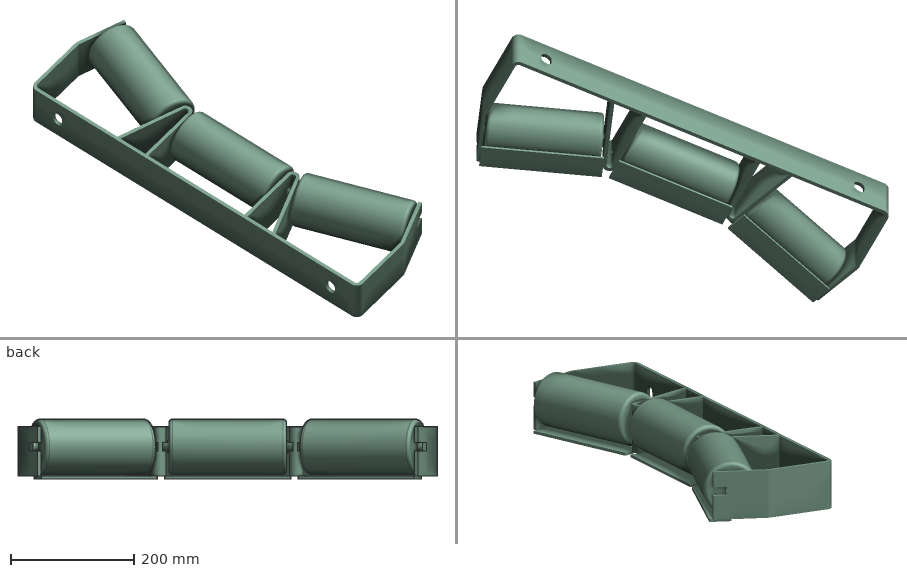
import cadquery as cq
import math

FRAME_LENGTH = 680.0
STRIP_WIDTH = 80.0
STRIP_THICKNESS = 6.0
INNER_BEND = 6.0
OUTER_BEND = INNER_BEND + STRIP_THICKNESS

TILT = 20.0
KNEE_Y = 120.0
LEG_TIP_Y = 205.5

CENTRE_GAP = 200.0
BRACKET_INNER_BEND = 5.5
BRACKET_OUTER_BEND = BRACKET_INNER_BEND + STRIP_THICKNESS
BRACKET_BEND_Y = 117.0

MOUNT_SLOT_WIDTH = 18.5
MOUNT_SLOT_HEIGHT = 26.0
MOUNT_SLOT_X = 283.0

ROLLER_RADIUS = 45.0
ROLLER_LENGTH = 191.0
ROLLER_EDGE_RADIUS = 6.0
AXLE_RADIUS = 10.0
AXLE_FLATS = 14.0
AXLE_SHOULDER = 2.0
AXIS_Z = 47.5
CENTRE_AXIS_Y = 100.5
SIDE_AXIS_OFFSET = 56.5

PLATE_WIDTH = 37.0
PLATE_THICKNESS = 5.0
CENTRE_PLATE_LENGTH = 205.0
SIDE_PLATE_LENGTH = 200.0

HALF_LENGTH = FRAME_LENGTH / 2
TILT_COS = math.cos(math.radians(TILT))
TILT_SIN = math.sin(math.radians(TILT))
TILT_TAN = math.tan(math.radians(TILT))


def along_axis(x, y):
    """Distance of a point along the right-hand roller axis direction."""
    return x * TILT_COS + y * TILT_SIN


BRACKET_BEND_X = CENTRE_GAP / 2 + BRACKET_OUTER_BEND
side_gap_start = along_axis(BRACKET_BEND_X, BRACKET_BEND_Y) + BRACKET_OUTER_BEND
side_gap_end = along_axis(HALF_LENGTH, KNEE_Y) - STRIP_THICKNESS
SIDE_GAP = side_gap_end - side_gap_start
side_middle = (side_gap_start + side_gap_end) / 2
SIDE_AXIS_X = side_middle * TILT_COS - SIDE_AXIS_OFFSET * TILT_SIN
SIDE_AXIS_Y = side_middle * TILT_SIN + SIDE_AXIS_OFFSET * TILT_COS

BAYS = [
    {"x": -SIDE_AXIS_X, "y": SIDE_AXIS_Y, "turn": -TILT, "gap": SIDE_GAP, "plate": SIDE_PLATE_LENGTH},
    {"x": 0, "y": CENTRE_AXIS_Y, "turn": 0, "gap": CENTRE_GAP, "plate": CENTRE_PLATE_LENGTH},
    {"x": SIDE_AXIS_X, "y": SIDE_AXIS_Y, "turn": TILT, "gap": SIDE_GAP, "plate": SIDE_PLATE_LENGTH},
]
LEFT_BAY, CENTRE_BAY, RIGHT_BAY = BAYS


def place_in_bay(shape, bay):
    """Move a shape built along X at the origin to the axis of a bay."""
    return shape.rotate((0, 0, 0), (0, 0, 1), bay["turn"]).translate((bay["x"], bay["y"], AXIS_Z))


def round_bar(radius, length):
    """Cylinder along X, centred on the origin."""
    return cq.Workplane("YZ", origin=(-length / 2, 0, 0)).circle(radius).extrude(length)


def flatted_bar(bay):
    """Bar with two flats, ending flush with the far faces of the legs of a bay."""
    length = bay["gap"] + 2 * STRIP_THICKNESS
    flats = cq.Workplane("XY").box(length, 2 * AXLE_RADIUS, AXLE_FLATS)
    return round_bar(AXLE_RADIUS, length).intersect(flats)


def axle_slots(bay):
    """Cutter for the axle ends and the open slots that lead to them from the leg tips."""
    length = bay["gap"] + 2 * STRIP_THICKNESS
    entry_length = 2 * ROLLER_RADIUS
    entry = cq.Workplane("XY").box(length, entry_length, AXLE_FLATS).translate((0, entry_length / 2, 0))
    return place_in_bay(flatted_bar(bay).union(entry), bay)


def make_frame():
    tip_rise = LEG_TIP_Y - KNEE_Y
    tip_x = HALF_LENGTH - tip_rise * TILT_TAN
    inner_tip_x = tip_x - STRIP_THICKNESS * TILT_COS
    inner_tip_y = LEG_TIP_Y - STRIP_THICKNESS * TILT_SIN
    inner_x = HALF_LENGTH - STRIP_THICKNESS
    inner_knee_y = KNEE_Y - STRIP_THICKNESS * math.tan(math.radians(TILT / 2))
    right_side = [
        (HALF_LENGTH, 0),
        (HALF_LENGTH, KNEE_Y),
        (tip_x, LEG_TIP_Y),
        (inner_tip_x, inner_tip_y),
        (inner_x, inner_knee_y),
        (inner_x, STRIP_THICKNESS),
    ]
    left_side = [(-x, y) for x, y in reversed(right_side)]
    strip = cq.Workplane("XY").polyline(right_side + left_side).close().extrude(STRIP_WIDTH)

    for side in (-1, 1):
        for x, y, radius in (
            (HALF_LENGTH, 0, OUTER_BEND),
            (HALF_LENGTH, KNEE_Y, OUTER_BEND),
            (inner_x, inner_knee_y, INNER_BEND),
            (inner_x, STRIP_THICKNESS, INNER_BEND),
        ):
            corner = cq.selectors.NearestToPointSelector((side * x, y, STRIP_WIDTH / 2))
            strip = strip.edges("|Z").edges(corner).fillet(radius)

    mount_slots = (
        cq.Workplane("XZ")
        .pushPoints([(-MOUNT_SLOT_X, STRIP_WIDTH / 2), (MOUNT_SLOT_X, STRIP_WIDTH / 2)])
        .slot2D(MOUNT_SLOT_HEIGHT, MOUNT_SLOT_WIDTH, 90)
        .extrude(-STRIP_THICKNESS)
    )
    return strip.cut(mount_slots).cut(axle_slots(LEFT_BAY)).cut(axle_slots(RIGHT_BAY))


def bracket_outline(radius):
    """Area under a bend of the given radius and its two legs, down to the base strip."""
    lean_x = BRACKET_BEND_X + radius * TILT_COS
    lean_y = BRACKET_BEND_Y + radius * TILT_SIN
    foot_x = lean_x + (lean_y - STRIP_THICKNESS) * TILT_TAN
    upright_x = BRACKET_BEND_X - radius
    return (
        cq.Workplane("XY")
        .moveTo(upright_x, STRIP_THICKNESS)
        .lineTo(upright_x, BRACKET_BEND_Y)
        .threePointArc((BRACKET_BEND_X, BRACKET_BEND_Y + radius), (lean_x, lean_y))
        .lineTo(foot_x, STRIP_THICKNESS)
        .close()
        .extrude(STRIP_WIDTH)
    )


def make_bracket(side):
    bracket = bracket_outline(BRACKET_OUTER_BEND).cut(bracket_outline(BRACKET_INNER_BEND))
    bracket = bracket.cut(axle_slots(CENTRE_BAY)).cut(axle_slots(RIGHT_BAY))
    if side < 0:
        bracket = bracket.mirror("YZ")
    return bracket


def make_roller(bay):
    """Roller with rounded rims, in one piece with its axle and two short round shoulders."""
    drum = round_bar(ROLLER_RADIUS, ROLLER_LENGTH).edges("%CIRCLE").fillet(ROLLER_EDGE_RADIUS)
    shoulders = round_bar(AXLE_RADIUS, ROLLER_LENGTH + 2 * AXLE_SHOULDER)
    return place_in_bay(drum.union(shoulders).union(flatted_bar(bay)), bay)


def make_plate(bay):
    """Plate under the legs, reaching from below the axis towards the leg tips."""
    plate = cq.Workplane("XY").box(bay["plate"], PLATE_WIDTH, PLATE_THICKNESS)
    drop = AXIS_Z + PLATE_THICKNESS / 2
    return place_in_bay(plate.translate((0, PLATE_WIDTH / 2, -drop)), bay)


frame = make_frame()
brackets = [make_bracket(side) for side in (-1, 1)]
rollers = [make_roller(bay) for bay in BAYS]
plates = [make_plate(bay) for bay in BAYS]

bodies = [frame, *brackets, *rollers, *plates]
result = cq.Compound.makeCompound([body.solids().val() for body in bodies])